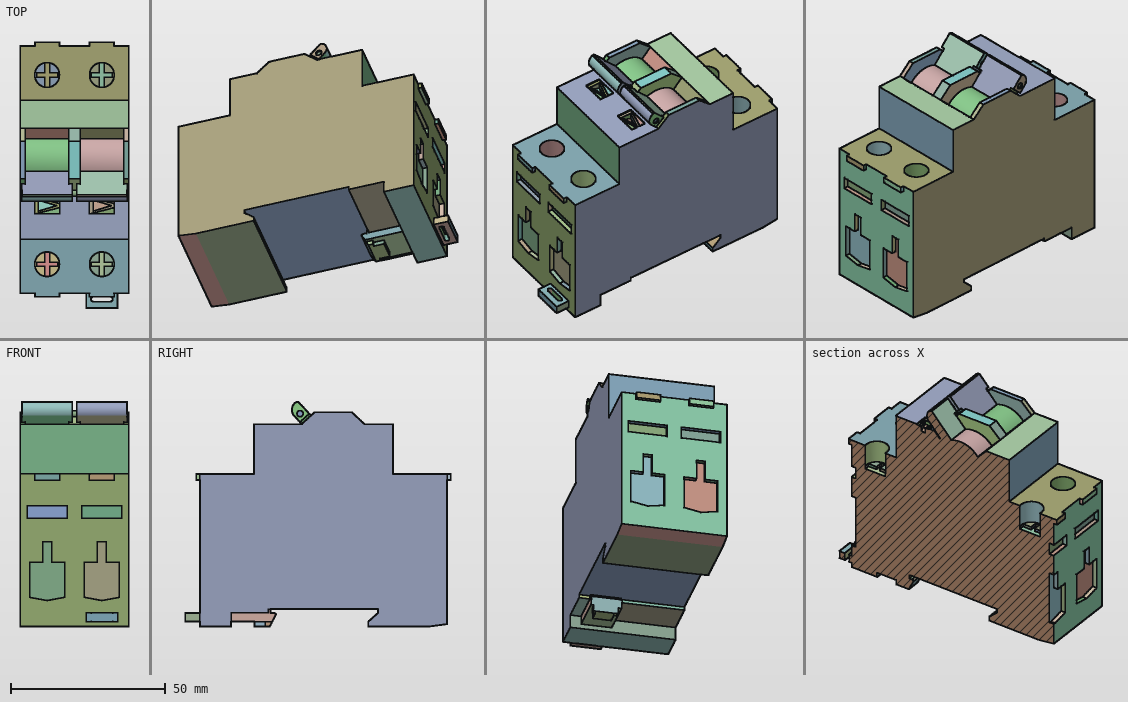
import cadquery as cq
import math


WIDTH = 35.1
POLE_PITCH = 17.7
BODY_LENGTH = 80.0
SHOULDER_Z = 49.4
CROWN_LENGTH = 45.0
CROWN_Z = 65.5
NOSE_Z = 69.4
NOSE_CENTRE_Y = 3.1
NOSE_BASE_LENGTH = 20.4
HALF_BODY = BODY_LENGTH / 2
HALF_CROWN = CROWN_LENGTH / 2
NOSE_FRONT_Y = NOSE_CENTRE_Y - NOSE_BASE_LENGTH / 2
NOSE_BACK_Y = NOSE_CENTRE_Y + NOSE_BASE_LENGTH / 2
NOSE_RISE = NOSE_Z - CROWN_Z
NOSE_RUN = 4.2
NOSE_SLOPE = math.atan2(NOSE_RISE, NOSE_RUN)
POLE_CENTRES = (-POLE_PITCH / 2, POLE_PITCH / 2)

RAIL_SEAT_Z = 5.65
RAIL_BACK_Y = 17.6
RAIL_FRONT_Y = -17.9
HOOK_TIP_Y = 14.4
HOOK_TIP_Z = 1.6
CLIP_TOP_Z = 4.5
CLIP_RECESS_FRONT_Y = -29.9
HEEL_RELIEF_LENGTH = 6.0
HEEL_RELIEF_HEIGHT = 0.8

TAB_WIDTH = 8.0
TAB_HEIGHT = 2.0
TAB_REACH = 1.2
SCREW_Y = 30.6
SCREW_HOLE_DIAMETER = 8.0
SCREW_HOLE_DEPTH = 8.0
CROSS_SLOT_DEPTH = 1.0
CROSS_LONG = 7.8
CROSS_LONG_WIDTH = 1.65
CROSS_SHORT = 6.8
CROSS_SHORT_WIDTH = 1.4
RECESS_DEPTH = 1.6
LABEL_WIDTH = 13.0
LABEL_HEIGHT = 4.0
LABEL_CENTRE_Z = 37.1
SOCKET_WIDTH = 11.3
SOCKET_TOP_Z = 20.8
SOCKET_SIDE_Z = 9.5
SOCKET_TIP_Z = 8.45
STEM_WIDTH = 2.9
STEM_TOP_Z = 27.5

TOGGLE_WIDTH = 14.0
BARREL_RADIUS = 8.9
BARREL_Z = 56.3
POCKET_FLOOR_Z = 61.2
PIN_Y = -7.6
PIN_Z = 68.9
PIN_DIAMETER = 2.0
PIN_HOLE_DEPTH = 0.5
LEVER_WIDTH = 16.4
LEVER_TOP = 2.2
LEVER_BOTTOM = -1.9
LEVER_START = -2.0
BEVEL_START = 3.25
BEVEL_DROP = 0.55
BEVEL_REACH = 0.35
TIP_RADIUS = 2.3
TIP_CENTRE = 1.0
WEB_START = -8.3

WINDOW_Y = -11.65
WINDOW_LENGTH = 8.0
WINDOW_WIDTH = 5.1
WINDOW_DEPTH = 0.2
ARROW_START = 1.15
ARROW_LENGTH = 5.9
ARROW_WIDTH = 3.6
ARROW_DEPTH = 4.0
DRUM_RADIUS = 12.0
DRUM_OFFSET_Y = -3.3
DRUM_TOP_DEPTH = 1.6
FRAME_START = 0.6
FRAME_TIP_WIDTH = 1.3

CLIP_X = POLE_PITCH / 2
CLIP_WIDTH = 10.2
CLIP_BOTTOM_Z = 1.65
CLIP_END_Y = -44.8
CLIP_NOSE_Y = -15.3
CLIP_NOSE_Z = 4.1
CLIP_NOSE_TOP_Y = -16.0
TOE_FRONT_Y = -17.4
TOE_BACK_Y = -18.9
FOOT_BACK_Y = -22.4
TOE_WIDTH = 8.2
HEEL_WIDTH = 6.2
RIDGE_FRONT_Y = -17.1
GRIP_SLOT_LENGTH = 7.0
GRIP_SLOT_WIDTH = 1.55
GRIP_SLOT_Y = -41.9


def box(x0, x1, y0, y1, z0, z1):
    """Block between two opposite corners."""
    return cq.Workplane("XY").box(x1 - x0, y1 - y0, z1 - z0, centered=False).translate((x0, y0, z0))


def side_prism(points, centre_x, width):
    """Prism across X from a (y, z) outline."""
    profile = cq.Workplane("YZ").polyline(points).close()
    return profile.extrude(width / 2, both=True).translate((centre_x, 0, 0))


def housing():
    outline = [
        (-HALF_BODY, 0),
        (CLIP_RECESS_FRONT_Y, 0),
        (CLIP_RECESS_FRONT_Y, CLIP_TOP_Z),
        (RAIL_FRONT_Y, CLIP_TOP_Z),
        (RAIL_FRONT_Y, RAIL_SEAT_Z),
        (RAIL_BACK_Y, RAIL_SEAT_Z),
        (RAIL_BACK_Y, CLIP_TOP_Z),
        (HOOK_TIP_Y, HOOK_TIP_Z),
        (HOOK_TIP_Y, 0),
        (HALF_BODY - HEEL_RELIEF_LENGTH, 0),
        (HALF_BODY, HEEL_RELIEF_HEIGHT),
        (HALF_BODY, SHOULDER_Z),
        (HALF_CROWN, SHOULDER_Z),
        (HALF_CROWN, CROWN_Z),
        (NOSE_BACK_Y, CROWN_Z),
        (NOSE_BACK_Y - NOSE_RUN, NOSE_Z),
        (NOSE_FRONT_Y + NOSE_RUN, NOSE_Z),
        (NOSE_FRONT_Y, CROWN_Z),
        (-HALF_CROWN, CROWN_Z),
        (-HALF_CROWN, SHOULDER_Z),
        (-HALF_BODY, SHOULDER_Z),
    ]
    return side_prism(outline, 0, WIDTH)


def tabs(x):
    """Pair of lugs at the shoulder edges, one at each end of a pole."""
    reach = HALF_BODY + TAB_REACH
    left = x - TAB_WIDTH / 2
    right = x + TAB_WIDTH / 2
    bottom = SHOULDER_Z - TAB_HEIGHT
    front = box(left, right, -reach, -HALF_BODY, bottom, SHOULDER_Z)
    return front.union(front.mirror("XZ"))


def screw_hole(x, y):
    """Screw well whose floor, the screw head, carries a cross slot."""
    head_z = SHOULDER_Z - SCREW_HOLE_DEPTH
    well = cq.Workplane("XY").circle(SCREW_HOLE_DIAMETER / 2).extrude(SCREW_HOLE_DEPTH)
    lengthwise = cq.Workplane("XY").rect(CROSS_LONG_WIDTH, CROSS_LONG).extrude(-CROSS_SLOT_DEPTH)
    crosswise = cq.Workplane("XY").rect(CROSS_SHORT, CROSS_SHORT_WIDTH).extrude(-CROSS_SLOT_DEPTH)
    return well.union(lengthwise).union(crosswise).translate((x, y, head_z))


def terminal_recesses(x):
    """Label slot and stemmed wire socket, sunk in both end faces."""
    end_face = cq.Workplane("XZ", origin=(x, -HALF_BODY, 0))
    label = end_face.center(0, LABEL_CENTRE_Z).rect(LABEL_WIDTH, LABEL_HEIGHT).extrude(-RECESS_DEPTH)
    outline = [
        (0, SOCKET_TIP_Z),
        (SOCKET_WIDTH / 2, SOCKET_SIDE_Z),
        (SOCKET_WIDTH / 2, SOCKET_TOP_Z),
        (STEM_WIDTH / 2, SOCKET_TOP_Z),
        (STEM_WIDTH / 2, STEM_TOP_Z),
        (-STEM_WIDTH / 2, STEM_TOP_Z),
        (-STEM_WIDTH / 2, SOCKET_TOP_Z),
        (-SOCKET_WIDTH / 2, SOCKET_TOP_Z),
        (-SOCKET_WIDTH / 2, SOCKET_SIDE_Z),
    ]
    socket = end_face.polyline(outline).close().extrude(-RECESS_DEPTH)
    front = label.union(socket)
    return front.union(front.mirror("XZ"))


def toggle_pocket(x):
    """Opening with sloping ends through the nose, around one toggle."""
    inset = (CROWN_Z - POCKET_FLOOR_Z) / math.tan(math.pi / 2 - NOSE_SLOPE)
    outline = [
        (NOSE_FRONT_Y, NOSE_Z),
        (NOSE_FRONT_Y, CROWN_Z),
        (NOSE_FRONT_Y + inset, POCKET_FLOOR_Z),
        (NOSE_BACK_Y - inset, POCKET_FLOOR_Z),
        (NOSE_BACK_Y, CROWN_Z),
        (NOSE_BACK_Y, NOSE_Z),
    ]
    return side_prism(outline, x, TOGGLE_WIDTH)


def lever_point(up, out):
    """(y, z) of a point given in lever coordinates."""
    y = PIN_Y + up * math.cos(NOSE_SLOPE) - out * math.sin(NOSE_SLOPE)
    z = PIN_Z + up * math.sin(NOSE_SLOPE) + out * math.cos(NOSE_SLOPE)
    return (y, z)


def lever(x):
    """Finger grip with a bevelled upper edge and a rounded tip."""
    tip_centre_up = LEVER_BOTTOM + TIP_RADIUS
    half_chord = TIP_RADIUS / math.sqrt(2)
    section = (
        cq.Workplane("YZ")
        .moveTo(*lever_point(LEVER_BOTTOM, LEVER_START))
        .lineTo(*lever_point(LEVER_TOP, LEVER_START))
        .lineTo(*lever_point(LEVER_TOP, BEVEL_START))
        .lineTo(*lever_point(LEVER_TOP - BEVEL_DROP, BEVEL_START + BEVEL_REACH))
        .threePointArc(
            lever_point(tip_centre_up - half_chord, TIP_CENTRE + half_chord),
            lever_point(LEVER_BOTTOM, TIP_CENTRE),
        )
        .close()
    )
    return section.extrude(LEVER_WIDTH / 2, both=True).translate((x, 0, 0))


def toggle(x):
    """Barrel, connecting web and finger lever of one pole."""
    barrel = (
        cq.Workplane("YZ")
        .center(NOSE_CENTRE_Y, BARREL_Z)
        .circle(BARREL_RADIUS)
        .extrude(TOGGLE_WIDTH / 2, both=True)
        .translate((x, 0, 0))
    )
    web_outline = [
        lever_point(LEVER_BOTTOM, WEB_START),
        lever_point(LEVER_TOP, WEB_START),
        lever_point(LEVER_TOP, LEVER_START),
        lever_point(LEVER_BOTTOM, LEVER_START),
    ]
    web = side_prism(web_outline, x, TOGGLE_WIDTH)
    return barrel.union(web).union(lever(x))


def pin(x_start, length):
    """Cylinder along X on the tie-pin axis."""
    plane = cq.Workplane("YZ", origin=(x_start, PIN_Y, PIN_Z))
    return plane.circle(PIN_DIAMETER / 2).extrude(length)


def indicator_window(x):
    """Shallow window with a tapering frame and a arrow-shaped hole, floored by a curved drum."""
    window = cq.Workplane("XY").rect(WINDOW_LENGTH, WINDOW_WIDTH).extrude(-WINDOW_DEPTH)
    left = -WINDOW_LENGTH / 2
    frame_outline = [
        (left + FRAME_START, -WINDOW_WIDTH / 2),
        (-left, -FRAME_TIP_WIDTH / 2),
        (-left, FRAME_TIP_WIDTH / 2),
        (left + FRAME_START, WINDOW_WIDTH / 2),
        (left, WINDOW_WIDTH / 2),
        (left, -WINDOW_WIDTH / 2),
    ]
    frame = cq.Workplane("XY").polyline(frame_outline).close().extrude(-2 * WINDOW_DEPTH)
    arrow_outline = [
        (left + ARROW_START, -ARROW_WIDTH / 2),
        (left + ARROW_START + ARROW_LENGTH, 0),
        (left + ARROW_START, ARROW_WIDTH / 2),
    ]
    arrow = cq.Workplane("XY").polyline(arrow_outline).close().extrude(-ARROW_DEPTH)
    drum = (
        cq.Workplane("YZ")
        .center(DRUM_OFFSET_Y, -DRUM_TOP_DEPTH - DRUM_RADIUS)
        .circle(DRUM_RADIUS)
        .extrude(WINDOW_LENGTH / 2, both=True)
    )
    arrow = arrow.cut(drum)
    return window.union(frame).union(arrow).translate((x, WINDOW_Y, CROWN_Z))


def rail_clip():
    """Sliding latch: hooked nose with a stepped foot, and a slotted grip at the end."""
    nose_slope = (CLIP_NOSE_Y - TOE_FRONT_Y) / CLIP_NOSE_Z
    blade_outline = [
        (CLIP_END_Y, CLIP_BOTTOM_Z),
        (TOE_FRONT_Y + nose_slope * CLIP_BOTTOM_Z, CLIP_BOTTOM_Z),
        (CLIP_NOSE_Y, CLIP_NOSE_Z),
        (CLIP_NOSE_TOP_Y, CLIP_TOP_Z),
        (RIDGE_FRONT_Y, CLIP_TOP_Z),
        (RIDGE_FRONT_Y, RAIL_SEAT_Z),
        (RAIL_FRONT_Y, RAIL_SEAT_Z),
        (RAIL_FRONT_Y, CLIP_TOP_Z),
        (CLIP_END_Y, CLIP_TOP_Z),
    ]
    blade = side_prism(blade_outline, CLIP_X, CLIP_WIDTH)
    toe_outline = [
        (TOE_BACK_Y, 0),
        (TOE_FRONT_Y, 0),
        (TOE_FRONT_Y + nose_slope * CLIP_BOTTOM_Z, CLIP_BOTTOM_Z),
        (TOE_BACK_Y, CLIP_BOTTOM_Z),
    ]
    toe = side_prism(toe_outline, CLIP_X, TOE_WIDTH)
    heel_left = CLIP_X - HEEL_WIDTH / 2
    heel = box(heel_left, heel_left + HEEL_WIDTH, FOOT_BACK_Y, TOE_BACK_Y, 0, CLIP_BOTTOM_Z)
    grip_slot = (
        cq.Workplane("XY")
        .center(CLIP_X, GRIP_SLOT_Y)
        .slot2D(GRIP_SLOT_LENGTH, GRIP_SLOT_WIDTH)
        .extrude(CLIP_TOP_Z)
    )
    return blade.union(toe).union(heel).cut(grip_slot)


result = housing()
for pole_x in POLE_CENTRES:
    result = result.cut(toggle_pocket(pole_x))
    result = result.cut(terminal_recesses(pole_x))
    result = result.cut(indicator_window(pole_x))
    for screw_y in (-SCREW_Y, SCREW_Y):
        result = result.cut(screw_hole(pole_x, screw_y))
    result = result.union(tabs(pole_x))
    result = result.union(toggle(pole_x))

lever_gap = POLE_PITCH - LEVER_WIDTH
result = result.union(pin(-lever_gap / 2, lever_gap))
lever_end_x = POLE_PITCH / 2 + LEVER_WIDTH / 2
result = result.cut(pin(-lever_end_x, PIN_HOLE_DEPTH))
result = result.cut(pin(lever_end_x - PIN_HOLE_DEPTH, PIN_HOLE_DEPTH))
result = result.union(rail_clip())